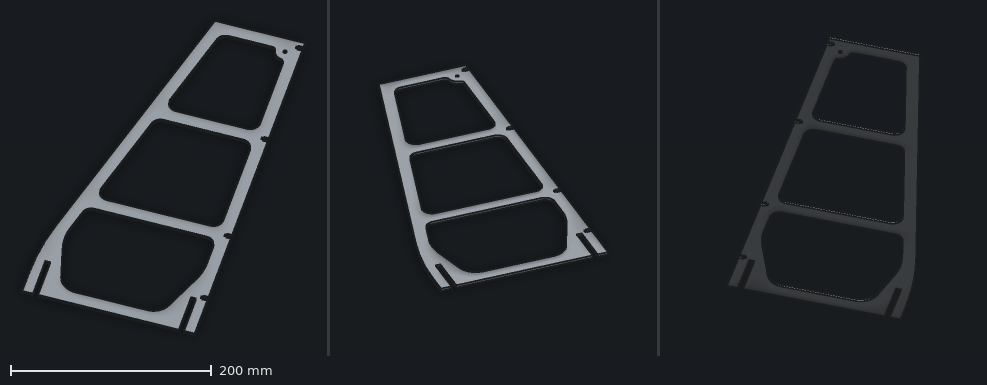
import cadquery as cq
import math

width = 180.0
length = 375.0
thickness = 3.0

top_edge_start = 86.0
slant_foot = 55.0
left_edge_radius = 250.0

border = 14.0
lower_rib = 125.0
upper_rib = 250.0
half_rib = border / 2

window_radius = 10.0
foot_radius = 20.0
hip_radius = 50.0
foot_left = 36.0
foot_right = 140.0
hip_height = 75.0

hole_offset = 2.0
hole_diameter = 3.0
pad_radius = 10.0
pad_blend_radius = 4.0

slot_width = 5.0
slot_length = 42.0
slot_inset = border

lowest_notch = 45.0
top_notch_inset = 7.5
notch_width = 4.5
notch_depth = 5.0
notch_tip_width = 2.0
notch_tip_depth = 7.0
notch_heights = (lowest_notch, lower_rib, upper_rib, length - top_notch_inset)

slant_run = top_edge_start / (length - slant_foot)
inner_right = width - border
inner_top = length - border
hole_x = inner_right - hole_offset
hole_y = inner_top - hole_offset


def inner_slant_x(y):
    """X of the line lying one border width inside the slanted left edge."""
    return slant_run * (y - slant_foot) + border * math.hypot(1, slant_run)


def prism(points):
    return cq.Workplane("XY").polyline(points).close().extrude(thickness)


def round_corner(body, point, radius):
    """Fillet the upright edge nearest to the given (x, y) point."""
    corner = (point[0], point[1], thickness / 2)
    return body.edges("|Z").edges(cq.selectors.NearestToPointSelector(corner)).fillet(radius)


def rounded_prism(corners):
    """Prism through (x, y, corner radius) corners."""
    body = prism([(x, y) for x, y, _ in corners])
    for x, y, radius in corners:
        body = round_corner(body, (x, y), radius)
    return body


def outer_plate():
    outline = [(0, 0), (width, 0), (width, length), (top_edge_start, length), (0, slant_foot)]
    return round_corner(prism(outline), (0, slant_foot), left_edge_radius)


def slanted_window(bottom, top):
    return rounded_prism([
        (inner_slant_x(bottom), bottom, window_radius),
        (inner_right, bottom, window_radius),
        (inner_right, top, window_radius),
        (inner_slant_x(top), top, window_radius),
    ])


def upper_window(bottom):
    """Window whose upper right corner is filled by the pad around the hole."""
    body = prism([
        (inner_slant_x(bottom), bottom),
        (inner_right, bottom),
        (inner_right, inner_top),
        (inner_slant_x(inner_top), inner_top),
    ])
    pad = cq.Workplane("XY").center(hole_x, hole_y).circle(pad_radius).extrude(thickness)
    body = body.cut(pad)
    pad_reach = math.sqrt(pad_radius**2 - hole_offset**2)
    body = round_corner(body, (hole_x - pad_reach, inner_top), pad_blend_radius)
    body = round_corner(body, (inner_right, hole_y - pad_reach), pad_blend_radius)
    body = round_corner(body, (inner_slant_x(bottom), bottom), window_radius)
    body = round_corner(body, (inner_right, bottom), window_radius)
    return round_corner(body, (inner_slant_x(inner_top), inner_top), window_radius)


def lower_window(top):
    return rounded_prism([
        (foot_left, border, foot_radius),
        (foot_right, border, foot_radius),
        (inner_right, hip_height, hip_radius),
        (inner_right, top, window_radius),
        (inner_slant_x(top), top, window_radius),
        (inner_slant_x(hip_height), hip_height, hip_radius),
    ])


def corner_hole():
    return cq.Workplane("XY").center(hole_x, hole_y).circle(hole_diameter / 2).extrude(thickness)


def bottom_slot(x):
    return cq.Workplane("XY").center(x, slot_length / 2).rect(slot_width, slot_length).extrude(thickness)


def edge_notch(y):
    """Wide mouth at the right edge with a narrower tip behind it."""
    mouth = cq.Workplane("XY").center(width - notch_depth / 2, y).rect(notch_depth, notch_width)
    tip = cq.Workplane("XY").center(width - notch_tip_depth / 2, y).rect(notch_tip_depth, notch_tip_width)
    return mouth.extrude(thickness).union(tip.extrude(thickness))


result = outer_plate()
result = result.cut(lower_window(lower_rib - half_rib))
result = result.cut(slanted_window(lower_rib + half_rib, upper_rib - half_rib))
result = result.cut(upper_window(upper_rib + half_rib))
result = result.cut(corner_hole())
for slot_x in (slot_inset, width - slot_inset):
    result = result.cut(bottom_slot(slot_x))
for notch_y in notch_heights:
    result = result.cut(edge_notch(notch_y))